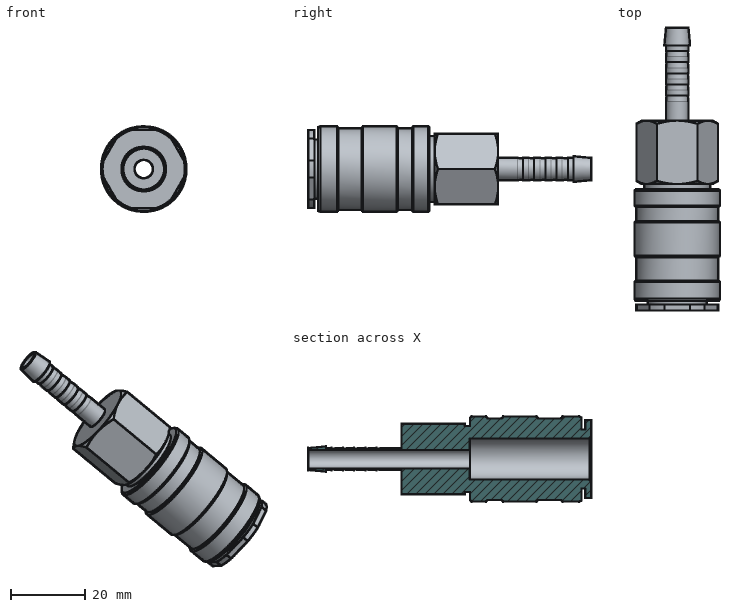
import cadquery as cq
import math

LENGTH = 76

FLANGE_END = 1.7
FLANGE_RADIUS = 11.0
FLANGE_ACROSS_FLATS = 21.0
FRONT_NECK_RADIUS = 8.0

SLEEVE_START = 2.6
SLEEVE_END = 32.6
SLEEVE_DIAMETER = 23.0
SLEEVE_RADIUS = SLEEVE_DIAMETER / 2
RECESS_RADIUS = 11.0
FRONT_RECESS = (8.1, 14.3)
REAR_RECESS = (24.1, 27.8)
SLEEVE_CHAMFER = 0.45
FRONT_CHAMFER_LENGTH = 0.7
FRONT_CHAMFER_DEPTH = 0.3

HEX_START = 34.0
HEX_END = 51.0
HEX_ACROSS_FLATS = 19
HEX_CHAMFER_ANGLE = 30
REAR_NECK_RADIUS = 8.9

TAIL_RADIUS = 3.05
BARB_RADIUS = 3.5
BARB_LENGTH = 4.8
GROOVES_START = 56.2
GROOVES_END = 69.7
GROOVE_COUNT = 5
GROOVE_LENGTH = 1.5
GROOVE_DEPTH = 0.15

SOCKET_RADIUS = 5.5
SOCKET_DEPTH = SLEEVE_END
MOUTH_RADIUS = 6.0
MOUTH_CHAMFER_LENGTH = 0.5
PASSAGE_RADIUS = 2.4


def revolve_profile(points):
    """Revolve (radius, y) points, closed along the axis, around the Y axis."""
    start = (0, points[0][1])
    end = (0, points[-1][1])
    profile = cq.Workplane("XY").polyline([start, *points, end]).close()
    return profile.revolve(360, (0, 0, 0), (0, 1, 0))


def cylinder(radius, y_start, y_end):
    return revolve_profile([(radius, y_start), (radius, y_end)])


def hexagon(across_flats, y_start, y_end):
    """Hexagonal prism along Y with flats facing +Z and -Z."""
    across_corners = across_flats / math.cos(math.radians(30))
    plane = cq.Workplane("XZ", origin=(0, y_start, 0))
    return plane.polygon(6, across_corners).extrude(y_start - y_end)


def make_flange():
    disc = cylinder(FLANGE_RADIUS, 0, FLANGE_END)
    return disc.intersect(hexagon(FLANGE_ACROSS_FLATS, 0, FLANGE_END))


def make_sleeve():
    points = [
        (SLEEVE_RADIUS - FRONT_CHAMFER_DEPTH, SLEEVE_START),
        (SLEEVE_RADIUS, SLEEVE_START + FRONT_CHAMFER_LENGTH),
    ]
    for recess_start, recess_end in (FRONT_RECESS, REAR_RECESS):
        points += [
            (SLEEVE_RADIUS, recess_start - SLEEVE_CHAMFER),
            (RECESS_RADIUS, recess_start),
            (RECESS_RADIUS, recess_end),
            (SLEEVE_RADIUS, recess_end + SLEEVE_CHAMFER),
        ]
    points += [
        (SLEEVE_RADIUS, SLEEVE_END - SLEEVE_CHAMFER),
        (SLEEVE_RADIUS - SLEEVE_CHAMFER, SLEEVE_END),
    ]
    return revolve_profile(points)


def make_hex_body():
    """Hexagon whose corners are turned down by a cone that touches the flats at each end face."""
    face_radius = HEX_ACROSS_FLATS / 2
    corner_radius = face_radius / math.cos(math.radians(30))
    chamfer_length = (corner_radius - face_radius) * math.tan(math.radians(HEX_CHAMFER_ANGLE))
    envelope = revolve_profile([
        (face_radius, HEX_START),
        (corner_radius, HEX_START + chamfer_length),
        (corner_radius, HEX_END - chamfer_length),
        (face_radius, HEX_END),
    ])
    return hexagon(HEX_ACROSS_FLATS, HEX_START, HEX_END).intersect(envelope)


def make_tail():
    barb_start = LENGTH - BARB_LENGTH
    groove_pitch = (GROOVES_END - GROOVES_START - GROOVE_LENGTH) / (GROOVE_COUNT - 1)
    points = [(TAIL_RADIUS, HEX_END)]
    for index in range(GROOVE_COUNT):
        groove_start = GROOVES_START + index * groove_pitch
        groove_end = groove_start + GROOVE_LENGTH
        points += [
            (TAIL_RADIUS, groove_start),
            (TAIL_RADIUS - GROOVE_DEPTH, groove_end),
            (TAIL_RADIUS, groove_end),
        ]
    points += [
        (TAIL_RADIUS, barb_start),
        (BARB_RADIUS, barb_start),
        (TAIL_RADIUS, LENGTH),
    ]
    return revolve_profile(points)


def make_bores():
    socket = revolve_profile([
        (MOUTH_RADIUS, 0),
        (SOCKET_RADIUS, MOUTH_CHAMFER_LENGTH),
        (SOCKET_RADIUS, SOCKET_DEPTH),
    ])
    return socket.union(cylinder(PASSAGE_RADIUS, 0, LENGTH))


front_neck = cylinder(FRONT_NECK_RADIUS, FLANGE_END, SLEEVE_START)
rear_neck = cylinder(REAR_NECK_RADIUS, SLEEVE_END, HEX_START)

body = make_flange()
for section in (front_neck, make_sleeve(), rear_neck, make_hex_body(), make_tail()):
    body = body.union(section)

result = body.cut(make_bores())